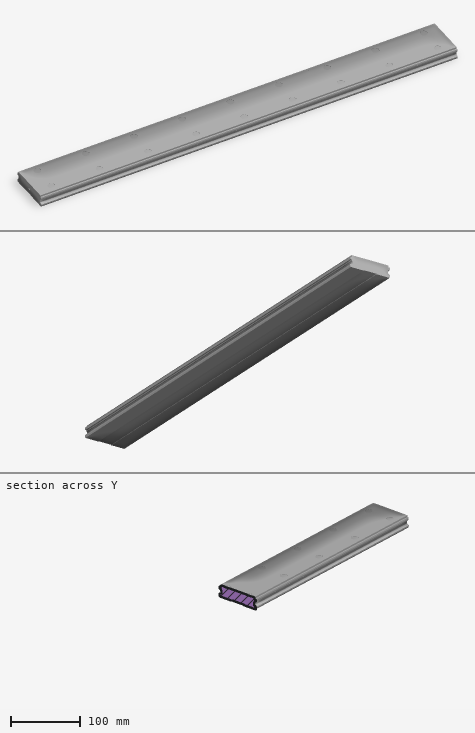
import cadquery as cq

length = 690.0
width = 69.0
height = 19.0
half_width = width / 2

foot_bevel_width = 1.05
foot_bevel_height = 2.0
foot_side_top = 4.0
foot_slope_width = 3.0

groove_bottom = 6.0
groove_top = 10.5
groove_depth = 3.8

head_inset = 3.0
bead_bottom = 12.5
bead_top = 16.5
bead_tip_inset = 0.35
bead_corner_inset = 1.0

relief_width = 22.0
relief_depth = 1.0

recess_diameter = 11.0
recess_depth = 0.35
recess_rows = 2
recess_count = 9
row_spacing = 40.0
recess_pitch = 80.0

end_hole_diameter = 4.0
end_hole_depth = 14.0


def rail_body():
    """Extrude the symmetric cross-section along Y, with its base on Z = 0."""
    bead_middle = (bead_bottom + bead_top) / 2
    foot = [
        (half_width - foot_bevel_width, 0),
        (half_width, foot_bevel_height),
        (half_width, foot_side_top),
        (half_width - foot_slope_width, groove_bottom),
    ]
    groove = [
        (half_width - groove_depth, groove_bottom),
        (half_width - groove_depth, groove_top),
    ]
    head = [
        (half_width - head_inset, groove_top),
        (half_width - head_inset, bead_bottom),
        (half_width - bead_corner_inset, bead_bottom),
        (half_width - bead_tip_inset, bead_middle),
        (half_width - bead_corner_inset, bead_top),
        (half_width - head_inset, bead_top),
        (half_width - head_inset, height),
    ]
    right_side = foot + groove + head
    left_side = [(-x, z) for x, z in reversed(right_side)]
    section = cq.Workplane("XZ").polyline(right_side + left_side).close()
    return section.extrude(length / 2, both=True)


def underside_relief():
    """Flat cutter along the full length of the underside."""
    return cq.Workplane("XY").rect(relief_width, length).extrude(relief_depth)


def top_recesses():
    """Grid of round cutters reaching down from the top face."""
    return (
        cq.Workplane("XY", origin=(0, 0, height - recess_depth))
        .rarray(row_spacing, recess_pitch, recess_rows, recess_count)
        .circle(recess_diameter / 2)
        .extrude(recess_depth)
    )


def end_hole():
    """Round cutter running inward from the -Y end face."""
    return (
        cq.Workplane("XZ", origin=(0, -length / 2, height / 2))
        .circle(end_hole_diameter / 2)
        .extrude(-end_hole_depth)
    )


result = rail_body().cut(underside_relief()).cut(top_recesses()).cut(end_hole())